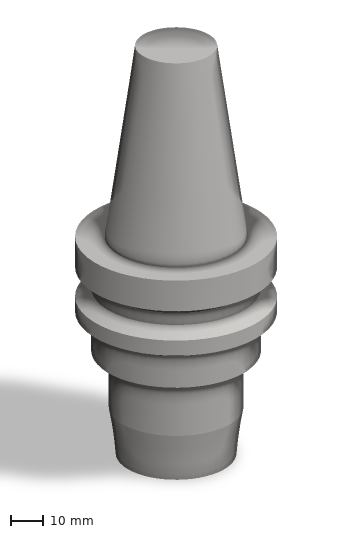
import cadquery as cq

total_height = 141.6
shank_tip_diameter = 25.6
shank_base_diameter = 44.5
shank_taper_bottom = 76.2

flange_diameter = 63.0
flange_top = 75.3
upper_rim_bottom = 64.7
groove_floor_top = 61.7
groove_floor_bottom = 57.5
lower_rim_top = 54.5
lower_rim_bottom = 49.3
lower_cone_diameter = 59.5

collar_diameter = 53.0
collar_top = 46.7
collar_bottom = 35.1
collar_chamfer = 0.5

nose_diameter = 42.0
nose_fillet = 2.7
nose_curve_top = 16.3
nose_middle_diameter = 39.4
nose_tip_diameter = 37.7


def place(diameter, height):
    """Return a profile point as (radius, z)."""
    return diameter / 2, height


profile = (
    cq.Workplane("XZ")
    .moveTo(0, total_height)
    .lineTo(*place(shank_tip_diameter, total_height))
    .lineTo(*place(shank_base_diameter, shank_taper_bottom))
    .lineTo(*place(shank_base_diameter, flange_top))
    .lineTo(*place(flange_diameter, flange_top))
    .lineTo(*place(flange_diameter, upper_rim_bottom))
    .lineTo(*place(collar_diameter, groove_floor_top))
    .lineTo(*place(collar_diameter, groove_floor_bottom))
    .lineTo(*place(flange_diameter, lower_rim_top))
    .lineTo(*place(flange_diameter, lower_rim_bottom))
    .lineTo(*place(lower_cone_diameter, lower_rim_bottom))
    .lineTo(*place(collar_diameter, collar_top))
    .lineTo(*place(collar_diameter, collar_bottom + collar_chamfer))
    .lineTo(*place(collar_diameter - 2 * collar_chamfer, collar_bottom))
    .lineTo(*place(nose_diameter + 2 * nose_fillet, collar_bottom))
    .tangentArcPoint(place(nose_diameter, collar_bottom - nose_fillet), relative=False)
    .lineTo(*place(nose_diameter, nose_curve_top))
    .threePointArc(
        place(nose_middle_diameter, nose_curve_top / 2),
        place(nose_tip_diameter, 0),
    )
    .lineTo(0, 0)
    .close()
)

result = profile.revolve(360, (0, 0, 0), (0, 1, 0))